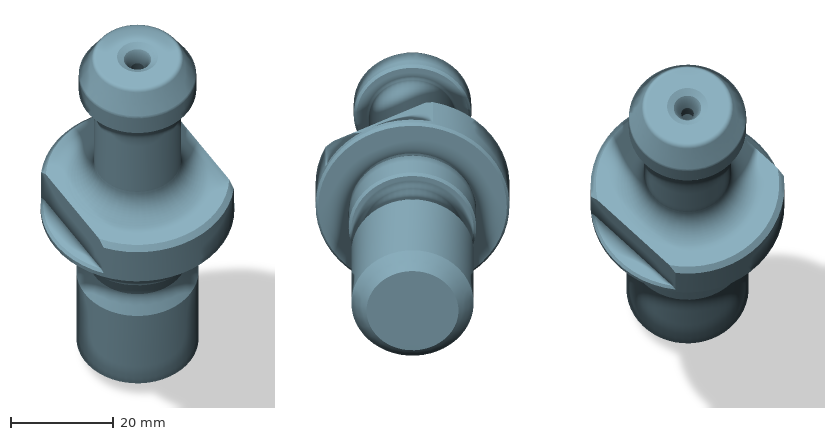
import cadquery as cq
import math

TOTAL_HEIGHT = 85.0
HEAD_HEIGHT = 10.0
FLANGE_TOP = 50.0
FLANGE_HEIGHT = 10.0
RELIEF_HEIGHT = 1.4
RELIEF_BEVEL_HEIGHT = 0.5
PILOT_BOTTOM = 31.6
UNDERCUT_BOTTOM = 26.5
END_CHAMFER = 3.0

HEAD_DIAMETER = 23.0
HEAD_TOP_DIAMETER = 17.25
NECK_DIAMETER = 17.0
FLANGE_DIAMETER = 38.0
RELIEF_DIAMETER = 24.5
PILOT_DIAMETER = 25.0
UNDERCUT_DIAMETER = 19.5
SHANK_DIAMETER = 24.0

CONE_SLOPE = math.tan(math.radians(30))
HEAD_ROUND = 1.0
SMALL_EDGE = 0.5
NECK_BASE_FILLET = 5.0
FLANGE_TOP_CHAMFER = 1.0
UNDERCUT_FILLET = 1.0

FLAT_WIDTH = 29.9
LIP_HEIGHT = 2.0

MOUTH_DIAMETER = 8.0
SEAT_DIAMETER = 5.35
DRILL_DIAMETER = 2.5
DRILL_DEPTH = 5.95
DRILL_POINT_ANGLE = 120

head_radius = HEAD_DIAMETER / 2
head_top_radius = HEAD_TOP_DIAMETER / 2
neck_radius = NECK_DIAMETER / 2
flange_radius = FLANGE_DIAMETER / 2
relief_radius = RELIEF_DIAMETER / 2
pilot_radius = PILOT_DIAMETER / 2
undercut_radius = UNDERCUT_DIAMETER / 2
shank_radius = SHANK_DIAMETER / 2
head_bottom = TOTAL_HEIGHT - HEAD_HEIGHT
flange_bottom = FLANGE_TOP - FLANGE_HEIGHT


def cylinder(radius, bottom, top):
    return cq.Workplane("XY").workplane(offset=bottom).circle(radius).extrude(top - bottom)


def revolve_profile(points):
    """Revolve a closed (radius, height) outline about Z."""
    return cq.Workplane("XZ").polyline(points).close().revolve(360, (0, 0), (0, 1))


def inside_fillet(shaft_radius, face_height, fillet_radius, side):
    """Fillet ring around a shaft on a flat face; side is +1 above the face, -1 below it."""
    bend = fillet_radius * (1 - math.sqrt(0.5))
    return (
        cq.Workplane("XZ")
        .moveTo(0, face_height)
        .lineTo(shaft_radius + fillet_radius, face_height)
        .threePointArc(
            (shaft_radius + bend, face_height + side * bend),
            (shaft_radius, face_height + side * fillet_radius),
        )
        .lineTo(0, face_height + side * fillet_radius)
        .close()
        .revolve(360, (0, 0), (0, 1))
    )


def make_head():
    cone_bottom = TOTAL_HEIGHT - (head_radius - head_top_radius) / CONE_SLOPE
    head = revolve_profile([
        (0, head_bottom),
        (head_radius, head_bottom),
        (head_radius, cone_bottom),
        (head_top_radius, TOTAL_HEIGHT),
        (0, TOTAL_HEIGHT),
    ])
    head = head.faces("<Z").edges().chamfer(SMALL_EDGE)
    cone_edges = cq.selectors.BoxSelector(
        (-head_radius, -head_radius, cone_bottom - SMALL_EDGE),
        (head_radius, head_radius, TOTAL_HEIGHT + SMALL_EDGE),
    )
    return head.edges("%CIRCLE").edges(cone_edges).fillet(HEAD_ROUND)


def make_neck():
    neck = cylinder(neck_radius, FLANGE_TOP, head_bottom)
    neck = neck.union(inside_fillet(neck_radius, FLANGE_TOP, NECK_BASE_FILLET, 1))
    return neck.union(inside_fillet(neck_radius, head_bottom, SMALL_EDGE, -1))


def make_flange():
    """Round flange with two wrench flats facing -Y and +Y above a thin round lip."""
    lip_top = flange_bottom + LIP_HEIGHT
    body = cylinder(flange_radius, flange_bottom, FLANGE_TOP)
    body = body.faces(">Z").edges().chamfer(FLANGE_TOP_CHAMFER)
    body = body.faces("<Z").edges().chamfer(SMALL_EDGE)
    flats = (
        cq.Workplane("XY")
        .workplane(offset=flange_bottom)
        .rect(FLANGE_DIAMETER, FLAT_WIDTH)
        .extrude(FLANGE_HEIGHT)
    )
    lip = cylinder(flange_radius, flange_bottom, lip_top).edges().chamfer(SMALL_EDGE)
    return body.intersect(flats).union(lip)


def make_shank():
    pilot_top = flange_bottom - RELIEF_HEIGHT
    cone_bottom = UNDERCUT_BOTTOM - (shank_radius - undercut_radius) / CONE_SLOPE
    shank = revolve_profile([
        (0, 0),
        (shank_radius - END_CHAMFER, 0),
        (shank_radius, END_CHAMFER),
        (shank_radius, cone_bottom),
        (undercut_radius, UNDERCUT_BOTTOM),
        (undercut_radius, PILOT_BOTTOM),
        (pilot_radius - SMALL_EDGE, PILOT_BOTTOM),
        (pilot_radius, PILOT_BOTTOM + SMALL_EDGE),
        (pilot_radius, pilot_top),
        (relief_radius, pilot_top + RELIEF_BEVEL_HEIGHT),
        (relief_radius, flange_bottom),
        (0, flange_bottom),
    ])
    return shank.union(inside_fillet(undercut_radius, PILOT_BOTTOM, UNDERCUT_FILLET, -1))


def make_centre_hole():
    """Centre drilling: wide protective countersink, 60 degree seat, pilot drill and its point."""
    mouth_radius = MOUTH_DIAMETER / 2
    seat_radius = SEAT_DIAMETER / 2
    drill_radius = DRILL_DIAMETER / 2
    seat_top = TOTAL_HEIGHT - (mouth_radius - seat_radius) * CONE_SLOPE
    seat_bottom = seat_top - (seat_radius - drill_radius) / CONE_SLOPE
    drill_bottom = TOTAL_HEIGHT - DRILL_DEPTH
    point_height = drill_radius / math.tan(math.radians(DRILL_POINT_ANGLE / 2))
    return revolve_profile([
        (0, TOTAL_HEIGHT),
        (mouth_radius, TOTAL_HEIGHT),
        (seat_radius, seat_top),
        (drill_radius, seat_bottom),
        (drill_radius, drill_bottom),
        (0, drill_bottom - point_height),
    ])


stud = make_shank().union(make_flange()).union(make_neck()).union(make_head())
result = stud.cut(make_centre_hole())